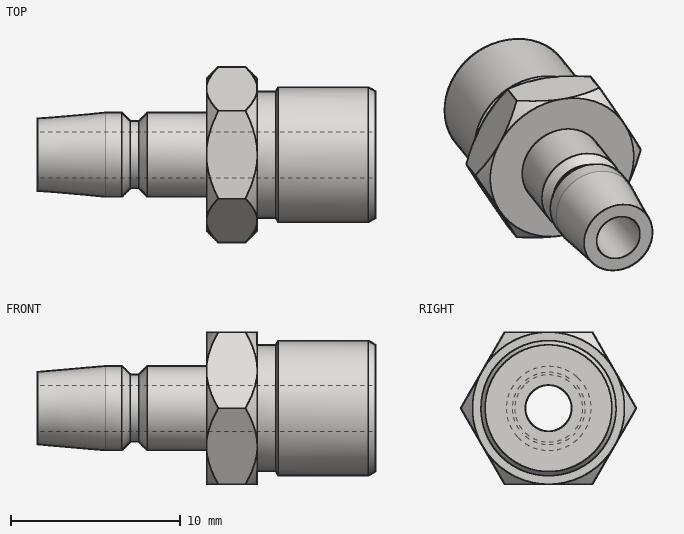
import cadquery as cq
import math


tapered_end = 4.0
groove_start = 5.0
groove_floor_width = 0.5
hex_start = 10.0
hex_end = 13.0
sleeve_start = 14.1
total_length = 20.0

bore_diameter = 2.72
tip_diameter = 4.3
stem_diameter = 5.0
groove_diameter = 4.0
hex_across_flats = 9.0
neck_diameter = 7.5
sleeve_diameter = 8.0

sleeve_end_diameter = neck_diameter
sleeve_end_angle = 30.0
sleeve_back_angle = 60.0

overlap = 0.2


def revolve_outline(points):
    """Turn an outline of (x, radius) points about the X axis."""
    return cq.Workplane("XZ").polyline(points).close().revolve(360, (0, 0, 0), (1, 0, 0))


def make_stem():
    """Plug stem: tapered tip, V-sided locking groove and plain shank."""
    stem_radius = stem_diameter / 2
    groove_radius = groove_diameter / 2
    groove_side = stem_radius - groove_radius
    floor_start = groove_start + groove_side
    floor_end = floor_start + groove_floor_width
    return revolve_outline([
        (0, 0),
        (0, tip_diameter / 2),
        (tapered_end, stem_radius),
        (groove_start, stem_radius),
        (floor_start, groove_radius),
        (floor_end, groove_radius),
        (floor_end + groove_side, stem_radius),
        (hex_start + overlap, stem_radius),
        (hex_start + overlap, 0),
    ])


def make_hexagon():
    """Wrench hexagon, flats facing up and down, corners turned to 45 degrees on both faces."""
    flat_radius = hex_across_flats / 2
    corner_radius = flat_radius / math.cos(math.radians(30))
    corner_chamfer = corner_radius - flat_radius
    prism = (
        cq.Workplane("YZ")
        .workplane(offset=hex_start)
        .polygon(6, 2 * corner_radius)
        .extrude(hex_end - hex_start)
    )
    corner_envelope = revolve_outline([
        (hex_start, 0),
        (hex_start, flat_radius),
        (hex_start + corner_chamfer, corner_radius),
        (hex_end - corner_chamfer, corner_radius),
        (hex_end, flat_radius),
        (hex_end, 0),
    ])
    return prism.intersect(corner_envelope)


def make_sleeve():
    """Neck behind the hexagon and the larger sleeve, chamfered at both ends."""
    neck_radius = neck_diameter / 2
    sleeve_radius = sleeve_diameter / 2
    end_radius = sleeve_end_diameter / 2
    back_chamfer_length = (sleeve_radius - neck_radius) / math.tan(math.radians(sleeve_back_angle))
    end_chamfer_length = (sleeve_radius - end_radius) / math.tan(math.radians(sleeve_end_angle))
    return revolve_outline([
        (hex_end - overlap, 0),
        (hex_end - overlap, neck_radius),
        (sleeve_start, neck_radius),
        (sleeve_start + back_chamfer_length, sleeve_radius),
        (total_length - end_chamfer_length, sleeve_radius),
        (total_length, end_radius),
        (total_length, 0),
    ])


bore = cq.Workplane("YZ").circle(bore_diameter / 2).extrude(total_length)

result = make_stem().union(make_hexagon()).union(make_sleeve()).cut(bore)